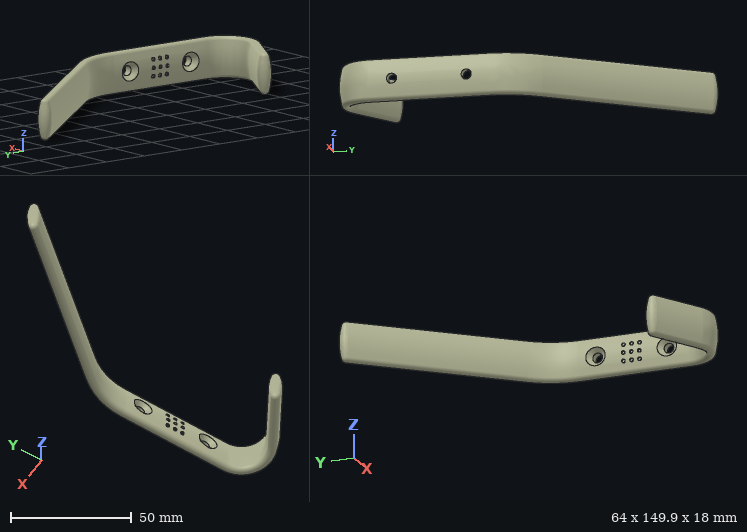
import cadquery as cq
import math

WIDTH = 18.0
THICKNESS = 6.0
EDGE_RADIUS = 2.1

BAR_X = 61.0
LOWER_BEND_RADIUS = 13.0
LOWER_BEND_SWEEP = 120.0
LOWER_ARM_LENGTH = 24.1
STRAIGHT_LENGTH = 50.1
UPPER_BEND_RADIUS = 32.1
UPPER_BEND_SWEEP = 40.0
UPPER_ARM_LENGTH = 78.6

PATTERN_Y = 42.0
SCREW_SPACING = 32.0
SCREW_HOLE_DIAMETER = 4.2
COUNTERSINK_DIAMETER = 8.7
COUNTERSINK_ANGLE = 90.0
DIMPLE_DIAMETER = 1.5
DIMPLE_PITCH = 3.6
DIMPLE_DEPTH = 0.7
DIMPLES_PER_SIDE = 3

HALF_THICKNESS = THICKNESS / 2
HALF_WIDTH = WIDTH / 2
INNER_FACE_X = BAR_X - HALF_THICKNESS

edge_centre_z = HALF_WIDTH - EDGE_RADIUS
crown_rise = HALF_THICKNESS - EDGE_RADIUS
crown_radius = (edge_centre_z**2 / crown_rise + HALF_THICKNESS + EDGE_RADIUS) / 2
contact_angle = math.asin(edge_centre_z / (crown_radius - EDGE_RADIUS))
contact_t = EDGE_RADIUS * math.cos(contact_angle)
contact_z = edge_centre_z + EDGE_RADIUS * math.sin(contact_angle)


def polar(centre, radius, degrees):
    """Point at an angle, measured from +X, on a circle in the XY plane."""
    angle = math.radians(degrees)
    return (centre[0] + radius * math.cos(angle), centre[1] + radius * math.sin(angle))


lower_centre = (BAR_X - LOWER_BEND_RADIUS, HALF_THICKNESS + LOWER_BEND_RADIUS)
upper_centre = (BAR_X - UPPER_BEND_RADIUS, lower_centre[1] + STRAIGHT_LENGTH)
lower_bend_start = polar(lower_centre, LOWER_BEND_RADIUS, -LOWER_BEND_SWEEP)
upper_bend_end = polar(upper_centre, UPPER_BEND_RADIUS, UPPER_BEND_SWEEP)
lower_direction = -LOWER_BEND_SWEEP - 90
upper_direction = UPPER_BEND_SWEEP + 90
lower_tip = polar(lower_bend_start, LOWER_ARM_LENGTH, lower_direction)
upper_tip = polar(upper_bend_end, UPPER_ARM_LENGTH, upper_direction)


def bar():
    """Crowned section swept along the bent centre path."""
    path = (
        cq.Workplane("XY")
        .moveTo(*lower_tip)
        .lineTo(*lower_bend_start)
        .threePointArc(
            polar(lower_centre, LOWER_BEND_RADIUS, -LOWER_BEND_SWEEP / 2),
            polar(lower_centre, LOWER_BEND_RADIUS, 0),
        )
        .lineTo(BAR_X, upper_centre[1])
        .threePointArc(
            polar(upper_centre, UPPER_BEND_RADIUS, UPPER_BEND_SWEEP / 2),
            upper_bend_end,
        )
        .lineTo(*upper_tip)
    )
    across = polar((0, 0), 1, -LOWER_BEND_SWEEP)
    along = polar((0, 0), 1, lower_direction)
    section_plane = cq.Plane(
        origin=(*lower_tip, 0),
        xDir=(*across, 0),
        normal=(*along, 0),
    )
    section = (
        cq.Workplane(section_plane)
        .moveTo(contact_t, -contact_z)
        .threePointArc((HALF_THICKNESS, 0), (contact_t, contact_z))
        .threePointArc((0, HALF_WIDTH), (-contact_t, contact_z))
        .threePointArc((-HALF_THICKNESS, 0), (-contact_t, -contact_z))
        .threePointArc((0, -HALF_WIDTH), (contact_t, -contact_z))
        .close()
    )
    return section.sweep(path)


def tip_cap(tip):
    """Half the section turned about its own midline to round off a tip."""
    round_angle = (contact_angle + math.pi / 2) / 2
    round_t = EDGE_RADIUS * math.cos(round_angle)
    round_z = edge_centre_z + EDGE_RADIUS * math.sin(round_angle)
    return (
        cq.Workplane("XZ")
        .moveTo(0, -HALF_WIDTH)
        .threePointArc((round_t, -round_z), (contact_t, -contact_z))
        .threePointArc((HALF_THICKNESS, 0), (contact_t, contact_z))
        .threePointArc((round_t, round_z), (0, HALF_WIDTH))
        .close()
        .revolve(360, (0, 0), (0, 1))
        .translate((*tip, 0))
    )


def screw_hole(y):
    """Through hole with a cone that opens at the inner face."""
    hole_radius = SCREW_HOLE_DIAMETER / 2
    cone_radius = COUNTERSINK_DIAMETER / 2
    cone_depth = (cone_radius - hole_radius) / math.tan(math.radians(COUNTERSINK_ANGLE / 2))
    return (
        cq.Workplane("XY")
        .lineTo(0, cone_radius)
        .lineTo(cone_depth, hole_radius)
        .lineTo(THICKNESS, hole_radius)
        .lineTo(THICKNESS, 0)
        .close()
        .revolve(360, (0, 0), (1, 0))
        .translate((INNER_FACE_X, y, 0))
    )


def dimples():
    return (
        cq.Workplane("YZ", origin=(INNER_FACE_X, PATTERN_Y, 0))
        .rarray(DIMPLE_PITCH, DIMPLE_PITCH, DIMPLES_PER_SIDE, DIMPLES_PER_SIDE)
        .circle(DIMPLE_DIAMETER / 2)
        .extrude(DIMPLE_DEPTH)
    )


body = bar().union(tip_cap(lower_tip)).union(tip_cap(upper_tip))
for side in (-1, 1):
    body = body.cut(screw_hole(PATTERN_Y + side * SCREW_SPACING / 2))
result = body.cut(dimples())